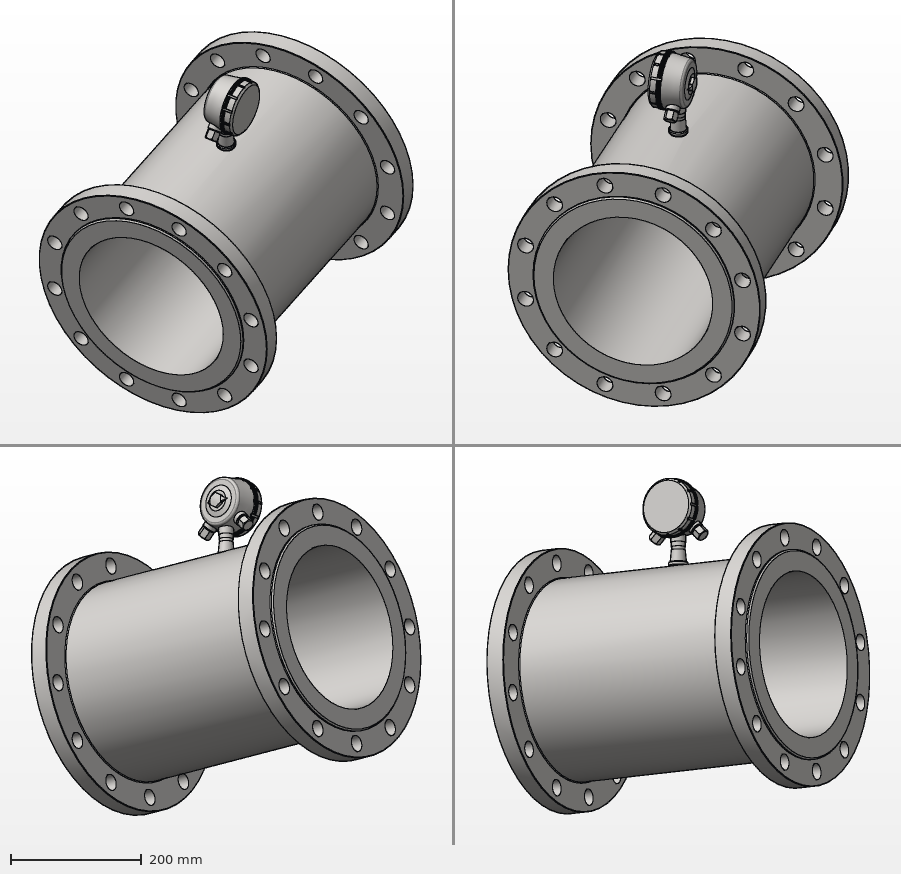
import cadquery as cq
import math

overall_height = 495.5
overall_length = 450.0
flange_diameter = 406.5
flange_radius = flange_diameter / 2
flange_thickness = 30.0
flange_chamfer = 1.0
flange_root_bevel = 1.5
raised_face_diameter = 324.0
raised_face_height = 5.0
raised_face_chamfer = 2.5
pipe_diameter = 314.0
bore_diameter = 256.5
bolt_count = 12
bolt_circle_diameter = 361.5
bolt_hole_diameter = 25.5

grip_radius = 45.5
head_height = overall_height - flange_radius - grip_radius
back_face_x = -18.5
back_edge_radius = 38.0
back_edge_fillet = 4.5
body_end_x = 15.0
body_end_radius = 43.5

collar_start_x = 16.0
collar_end_x = 22.0
collar_groove_width = 2.0
lid_radius = 44.0
lid_end_x = 35.5
lid_end_diameter = 81.5
lid_bevel = lid_radius - lid_end_diameter / 2
lid_groove_width = 3.5
lid_groove_floor_radius = 42.0
lid_groove_cutter_height = 5.0
lid_groove_count = 12

plug_base_radius = 25.5
plug_base_top_radius = 16.5
plug_base_height = 3.0
plug_hex_width = 21.0
plug_hex_height = 8.0
plug_tip_height = 10.0
plug_wing_span = 38.0
plug_wing_height = 20.0

gland_angle = 45.0
gland_hex_width = 18.5
gland_offset_x = -1.0
gland_chamfer = 2.0
gland_stem_diameter = 22.0
gland_waist_diameter = 17.0
gland_nut_start = 48.0
gland_nut_end = 63.0
gland_waist_length = 1.5

neck_root_height = 151.0
neck_ring_bottom = 158.5
neck_ring_top = 165.5
neck_ring_diameter = 30.0
neck_ring_chamfer = 1.5
neck_foot_diameter = 25.5
neck_flare_top = 184.5
neck_groove_top = 189.5
neck_groove_diameter = 21.0
neck_diameter = 22.0
neck_shoulder_height = 196.0
neck_shoulder_diameter = 23.5


def y_cylinder(diameter, start, end):
    """Cylinder along Y between two Y positions."""
    return cq.Workplane("XZ", origin=(0, start, 0)).circle(diameter / 2).extrude(start - end)


def head_revolve(profile):
    """Revolve (x, radius) points around the head axis."""
    return (
        cq.Workplane("XY", origin=(0, 0, head_height))
        .polyline(profile)
        .close()
        .revolve(360, (0, 0, 0), (1, 0, 0))
    )


def make_flange():
    """Flange at the -Y end, with a raised face outside and a bevelled root around the pipe."""
    outer_face = -overall_length / 2
    front = outer_face + raised_face_height
    back = front + flange_thickness
    raised_radius = raised_face_diameter / 2
    pipe_radius = pipe_diameter / 2
    profile = [
        (0, outer_face),
        (raised_radius - raised_face_chamfer, outer_face),
        (raised_radius, outer_face + raised_face_chamfer),
        (raised_radius, front),
        (flange_radius - flange_chamfer, front),
        (flange_radius, front + flange_chamfer),
        (flange_radius, back - flange_chamfer),
        (flange_radius - flange_chamfer, back),
        (pipe_radius + flange_root_bevel, back),
        (pipe_radius, back + flange_root_bevel),
        (0, back + flange_root_bevel),
    ]
    return cq.Workplane("XY").polyline(profile).close().revolve(360, (0, 0, 0), (0, 1, 0))


def make_bolt_holes():
    """Bolt holes through both flanges, straddling the vertical centre line."""
    return (
        cq.Workplane("XZ", origin=(0, overall_length / 2, 0))
        .polarArray(bolt_circle_diameter / 2, 180 / bolt_count, 360, bolt_count)
        .circle(bolt_hole_diameter / 2)
        .extrude(overall_length)
    )


def make_pipe():
    """Solid pipe barrel with a drilled flange at each end."""
    tube_end = overall_length / 2 - raised_face_height
    flange = make_flange()
    pipe = y_cylinder(pipe_diameter, -tube_end, tube_end)
    pipe = pipe.union(flange).union(flange.mirror("XZ"))
    return pipe.cut(make_bolt_holes())


def make_body():
    """Conical housing with a rounded edge around its -X face."""
    body = head_revolve([
        (back_face_x, 0),
        (back_face_x, back_edge_radius),
        (body_end_x, body_end_radius),
        (body_end_x, 0),
    ])
    return body.faces("<X").edges().fillet(back_edge_fillet)


def make_lid():
    """Lid with a grooved collar, a bevelled end and finger grooves around its rim."""
    collar_groove_x = (collar_start_x + collar_end_x) / 2
    lid = head_revolve([
        (body_end_x, 0),
        (body_end_x, lid_radius),
        (collar_start_x, grip_radius),
        (collar_groove_x - collar_groove_width / 2, grip_radius),
        (collar_groove_x - collar_groove_width / 2, lid_radius),
        (collar_groove_x + collar_groove_width / 2, lid_radius),
        (collar_groove_x + collar_groove_width / 2, grip_radius),
        (collar_end_x, grip_radius),
        (collar_end_x, lid_radius),
        (lid_end_x - lid_bevel, lid_radius),
        (lid_end_x, lid_radius - lid_bevel),
        (lid_end_x, 0),
    ])
    groove_length = lid_end_x - lid_bevel - body_end_x
    groove = (
        cq.Workplane("XY")
        .box(groove_length, lid_groove_width, lid_groove_cutter_height, centered=(False, True, False))
        .translate((body_end_x, 0, head_height + lid_groove_floor_radius))
    )
    for i in range(lid_groove_count):
        angle = i * 360 / lid_groove_count
        lid = lid.cut(groove.rotate((0, 0, head_height), (1, 0, head_height), angle))
    return lid


def make_plug():
    """Low conical base carrying a domed hexagon with two pointed, sloping wings along Y."""
    base_top_x = back_face_x - plug_base_height
    base = head_revolve([
        (back_face_x, 0),
        (back_face_x, plug_base_radius),
        (base_top_x, plug_base_top_radius),
        (base_top_x, 0),
    ])
    hex_end_x = back_face_x - plug_hex_height
    tip_x = back_face_x - plug_tip_height
    corner_radius = plug_hex_width / math.sqrt(3)
    hexagon = (
        cq.Workplane("YZ", origin=(back_face_x, 0, head_height))
        .polygon(6, 2 * corner_radius)
        .extrude(-plug_tip_height)
        .rotate((0, 0, head_height), (1, 0, head_height), 30)
    )
    dome = head_revolve([
        (back_face_x, 0),
        (back_face_x, corner_radius),
        (hex_end_x, corner_radius),
        (tip_x, 0),
    ])
    wing_plan = (
        cq.Workplane("YZ", origin=(back_face_x, 0, head_height))
        .polyline([
            (-plug_wing_span / 2, 0),
            (0, -plug_wing_height / 2),
            (plug_wing_span / 2, 0),
            (0, plug_wing_height / 2),
        ])
        .close()
        .extrude(-plug_hex_height)
    )
    wing_slope = (
        cq.Workplane("XY", origin=(0, 0, head_height - plug_wing_height / 2))
        .polyline([
            (back_face_x, -plug_wing_span / 2),
            (base_top_x, -plug_wing_span / 2),
            (hex_end_x, -plug_hex_width / 2),
            (hex_end_x, plug_hex_width / 2),
            (base_top_x, plug_wing_span / 2),
            (back_face_x, plug_wing_span / 2),
        ])
        .close()
        .extrude(plug_wing_height)
    )
    wings = wing_plan.intersect(wing_slope)
    return base.union(hexagon.intersect(dome)).union(wings)


def make_gland(side):
    """Cable gland with a hexagon nut, pointing down and outwards; side is +1 for +Y, -1 for -Y."""
    waist_start = gland_nut_start - gland_waist_length
    axis = cq.Workplane("XY")
    stem = axis.circle(gland_stem_diameter / 2).extrude(waist_start)
    waist = axis.circle(gland_waist_diameter / 2).extrude(gland_nut_start)
    corner_diameter = gland_hex_width * 2 / math.sqrt(3)
    nut_length = gland_nut_end - gland_nut_start
    nut_plane = cq.Workplane("XY", origin=(0, 0, gland_nut_start))
    nut_blank = nut_plane.circle(corner_diameter / 2).extrude(nut_length).faces(">Z").chamfer(gland_chamfer)
    nut = nut_plane.polygon(6, corner_diameter).extrude(nut_length).intersect(nut_blank)
    gland = stem.union(waist).union(nut)
    tilt = side * (180 + gland_angle)
    return gland.rotate((0, 0, 0), (1, 0, 0), tilt).translate((gland_offset_x, 0, head_height))


def make_neck():
    """Turned neck with a ring at its foot, a flared shank and a groove."""
    foot_radius = neck_foot_diameter / 2
    ring_radius = neck_ring_diameter / 2
    neck_radius = neck_diameter / 2
    groove_radius = neck_groove_diameter / 2
    shoulder_radius = neck_shoulder_diameter / 2
    profile = [
        (0, neck_root_height),
        (foot_radius, neck_root_height),
        (foot_radius, neck_ring_bottom),
        (ring_radius - neck_ring_chamfer, neck_ring_bottom),
        (ring_radius, neck_ring_bottom + neck_ring_chamfer),
        (ring_radius, neck_ring_top - neck_ring_chamfer),
        (ring_radius - neck_ring_chamfer, neck_ring_top),
        (foot_radius, neck_ring_top),
        (neck_radius, neck_flare_top),
        (groove_radius, neck_flare_top),
        (groove_radius, neck_groove_top),
        (neck_radius, neck_groove_top),
        (neck_radius, neck_shoulder_height),
        (shoulder_radius, neck_shoulder_height),
        (shoulder_radius, head_height),
        (0, head_height),
    ]
    return cq.Workplane("XZ").polyline(profile).close().revolve(360, (0, 0, 0), (0, 1, 0))


head = make_body().union(make_lid()).union(make_plug())
for side in (-1, 1):
    head = head.union(make_gland(side))

bore = y_cylinder(bore_diameter, -overall_length / 2, overall_length / 2)
result = make_pipe().union(make_neck()).union(head).cut(bore)